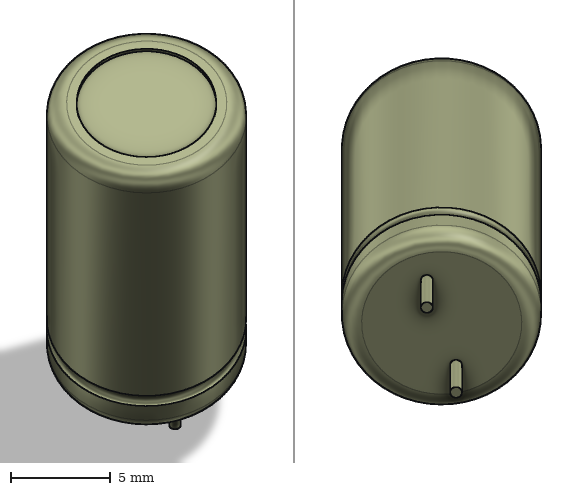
import cadquery as cq

total_height = 23.0
can_diameter = 10.0
lead_length = 3.0
lead_diameter = 0.6
lead_spacing = can_diameter / 2

edge_radius = 1.0
recess_diameter = 0.7 * can_diameter
recess_depth = 0.2
groove_width = 0.8
groove_depth = 0.25
groove_center_height = 2.5

can_radius = can_diameter / 2
can_height = total_height - lead_length


def make_can():
    """Cylinder with both rims rounded."""
    can = cq.Workplane("XY").circle(can_radius).extrude(can_height)
    return can.edges("%CIRCLE").fillet(edge_radius)


def make_top_recess():
    """Shallow round recess in the top face."""
    floor = cq.Workplane("XY").workplane(offset=can_height - recess_depth)
    return floor.circle(recess_diameter / 2).extrude(recess_depth)


def make_groove():
    """Ring with an arc-shaped inner side that crimps the can near its base."""
    bottom = groove_center_height - groove_width / 2
    top = groove_center_height + groove_width / 2
    return (
        cq.Workplane("XZ")
        .moveTo(can_radius, bottom)
        .threePointArc((can_radius - groove_depth, groove_center_height), (can_radius, top))
        .lineTo(can_radius + groove_depth, top)
        .lineTo(can_radius + groove_depth, bottom)
        .close()
        .revolve(360, (0, 0, 0), (0, 1, 0))
    )


def make_leads():
    """Two round wires hanging below the can, side by side along X."""
    positions = [(-lead_spacing / 2, 0), (lead_spacing / 2, 0)]
    return cq.Workplane("XY").pushPoints(positions).circle(lead_diameter / 2).extrude(-lead_length)


result = make_can().cut(make_top_recess()).cut(make_groove()).union(make_leads())